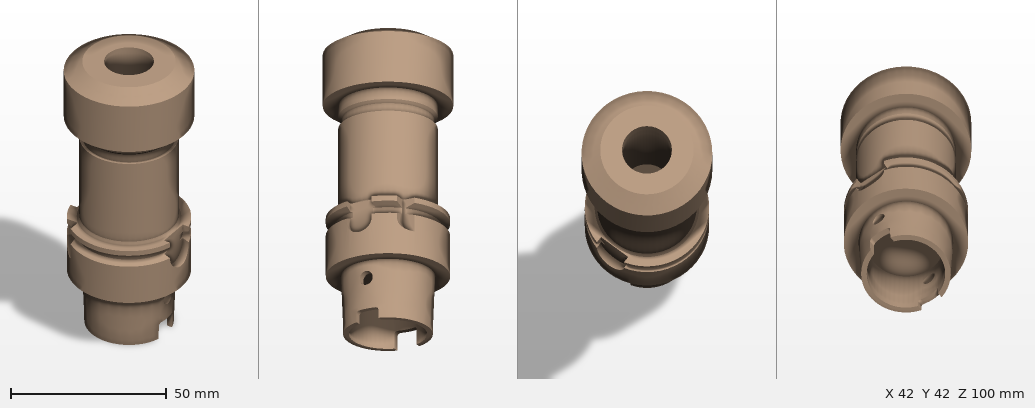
import cadquery as cq

total_height = 100.0
shank_length = 20.0
groove_bottom = 34.0
groove_floor_bottom = 35.0
groove_floor_top = 37.0
groove_top = 38.2
flange_top = 40.0
shoulder_top = 41.0
body_top = 71.0
collar_bottom = 74.0
collar_chamfer = 1.0
nut_bottom = 79.0
nut_chamfer_bottom = 96.5

tail_radius = 14.4
shank_radius = 15.2
flange_radius = 20.0
groove_radius = 17.4
shoulder_radius = 16.8
body_radius = 16.0
neck_radius = 15.0
nut_radius = 21.0
nut_face_radius = 15.0

bore_diameter = 16.0
bore_depth = 40.0

shank_bore_radius = 12.6

slot_floor = 17.0
slot_bottom = 28.3
left_slot_width = 9.0
right_slot_width = 11.0
notch_offset = 11.9
notch_radius = 4.1

keyway_width = 8.0
keyway_fillet = 1.0
left_keyway_height = 3.7
right_keyway_height = 6.1
cross_hole_diameter = 4.7
cross_hole_height = 14.2

cut_reach = 30.0


def turned_body():
    outline = [
        (0, 0),
        (tail_radius, 0),
        (shank_radius, shank_length),
        (flange_radius, shank_length),
        (flange_radius, groove_bottom),
        (groove_radius, groove_floor_bottom),
        (groove_radius, groove_floor_top),
        (flange_radius, groove_top),
        (flange_radius, flange_top),
        (shoulder_radius, flange_top),
        (body_radius, shoulder_top),
        (body_radius, body_top),
        (neck_radius, body_top),
        (neck_radius, collar_bottom),
        (body_radius, collar_bottom + collar_chamfer),
        (body_radius, nut_bottom),
        (nut_radius, nut_bottom),
        (nut_radius, nut_chamfer_bottom),
        (nut_face_radius, total_height),
        (0, total_height),
    ]
    return cq.Workplane("XZ").polyline(outline).close().revolve(360, (0, 0), (0, 1))


def flange_slot(width, side):
    """Round-ended slot with a flat floor; side is -1 for -X and +1 for +X."""
    radius = width / 2
    arc_height = slot_bottom + radius
    return (
        cq.Workplane("YZ", origin=(side * slot_floor, 0, 0))
        .moveTo(-radius, shoulder_top)
        .lineTo(-radius, arc_height)
        .threePointArc((0, slot_bottom), (radius, arc_height))
        .lineTo(radius, shoulder_top)
        .close()
        .extrude(side * cut_reach)
    )


def corner_notch():
    """Square-cornered notch at -X -Y, with a quarter-round lower end."""
    arc_height = slot_bottom + notch_radius
    return (
        cq.Workplane("YZ", origin=(-notch_offset, 0, 0))
        .moveTo(-notch_offset, shoulder_top)
        .lineTo(-notch_offset, arc_height)
        .radiusArc((-notch_offset - notch_radius, slot_bottom), notch_radius)
        .lineTo(-cut_reach, slot_bottom)
        .lineTo(-cut_reach, shoulder_top)
        .close()
        .extrude(-cut_reach)
    )


def keyway(height, side):
    """Open-ended keyway running from the shank axis out through one side."""
    return (
        cq.Workplane("XY")
        .box(cut_reach, keyway_width, height, centered=(True, True, False))
        .edges("|X and >Z")
        .fillet(keyway_fillet)
        .translate((side * cut_reach / 2, 0, 0))
    )


def cross_hole():
    return (
        cq.Workplane("YZ")
        .center(0, cross_hole_height)
        .circle(cross_hole_diameter / 2)
        .extrude(cut_reach, both=True)
    )


def tool_bore():
    return (
        cq.Workplane("XY", origin=(0, 0, total_height))
        .circle(bore_diameter / 2)
        .extrude(-bore_depth)
    )


def shank_bore():
    return cq.Workplane("XY").circle(shank_bore_radius).extrude(shank_length)


result = (
    turned_body()
    .cut(flange_slot(left_slot_width, -1))
    .cut(flange_slot(right_slot_width, 1))
    .cut(corner_notch())
    .cut(keyway(left_keyway_height, -1))
    .cut(keyway(right_keyway_height, 1))
    .cut(cross_hole())
    .cut(tool_bore())
    .cut(shank_bore())
)